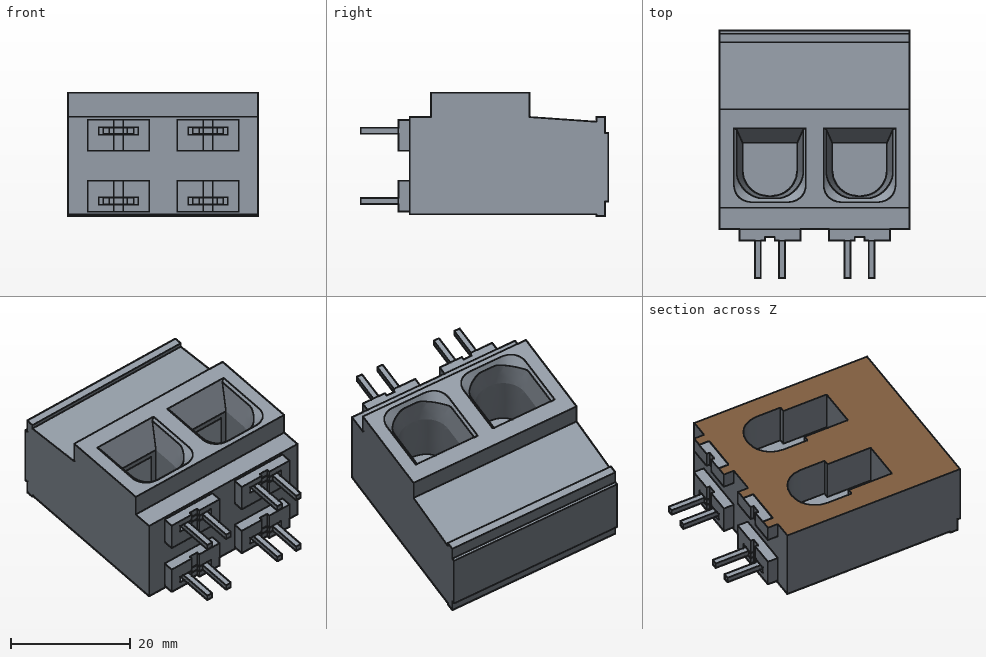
import cadquery as cq

WIDTH = 31.75
HEIGHT = 20.6
POLE_PITCH = 15.0
POLE_SHIFT = 0.05
POLE_CENTRES = (POLE_SHIFT - POLE_PITCH / 2, POLE_SHIFT + POLE_PITCH / 2)

PAD_BACK_Y = 33.2
FLANGE_BACK_Y = 32.65
FLANGE_FRONT_Y = 31.2
SHOULDER_Z = 16.55
SLOPE_LOW_Z = 15.77
UNDERSIDE_Z = 0.3
PAD_BOTTOM_Z = 2.4
PAD_TOP_Z = 13.9
TOWER_FRONT_Y = 3.55
TOWER_BACK_Y = 20.05

ENTRY_WIDTH = 12.05
ENTRY_FRONT_Y = 4.5
ENTRY_BACK_Y = 16.9
RIM_FILLET = 4.15
FUNNEL_FILLET = 4.4
BACK_SLOPE = 0.5
RIM_DEPTH = 2.05
RIM_SIDE_SLOPE = 0.9
RIM_FRONT_SLOPE = 0.85
FUNNEL_DEPTH = 4.95
FUNNEL_SIDE_SLOPE = 0.225
FUNNEL_FRONT_SLOPE = 0.09
THROAT_WIDTH = 9.1
THROAT_FRONT_Y = 5.5
SHAFT_FLOOR_Z = 6.2
CLAMP_SIDE_MARGIN = 1.0
CLAMP_TOP_MARGIN = 1.05
CLAMP_DEPTH = 8.3

CARRIER_WIDTH = 10.23
CARRIER_HEIGHT = 5.18
CARRIER_DEPTH = 1.9
GROOVE_WIDTH = 1.57
GROOVE_DEPTH = 0.6
SLOT_WIDTH = 6.6
SLOT_HEIGHT = 1.25
PIN_THICKNESS = 1.05
PIN_SPAN = 5.05
PIN_TIP_Y = PAD_BACK_Y - 41.4
PIN_ROWS = ((0.75, 2.53), (10.9, 14.25))


def box(x_centre, width, y_min, y_max, z_min, z_max):
    """Axis-aligned block centred on x_centre."""
    size = (width, y_max - y_min, z_max - z_min)
    return cq.Workplane("XY").box(*size, centered=(True, False, False)).translate((x_centre, y_min, z_min))


def housing():
    """Stepped side profile with a sloping rear roof, a rear flange and a rear pad."""
    profile = [
        (0, UNDERSIDE_Z),
        (FLANGE_FRONT_Y, UNDERSIDE_Z),
        (FLANGE_FRONT_Y, 0),
        (FLANGE_BACK_Y, 0),
        (FLANGE_BACK_Y, PAD_BOTTOM_Z),
        (PAD_BACK_Y, PAD_BOTTOM_Z),
        (PAD_BACK_Y, PAD_TOP_Z),
        (FLANGE_BACK_Y, PAD_TOP_Z),
        (FLANGE_BACK_Y, SHOULDER_Z),
        (FLANGE_FRONT_Y, SHOULDER_Z),
        (FLANGE_FRONT_Y, SLOPE_LOW_Z),
        (TOWER_BACK_Y, SHOULDER_Z),
        (TOWER_BACK_Y, HEIGHT),
        (TOWER_FRONT_Y, HEIGHT),
        (TOWER_FRONT_Y, SHOULDER_Z),
        (0, SHOULDER_Z),
    ]
    return cq.Workplane("YZ").polyline(profile).close().extrude(WIDTH / 2, both=True)


def tapered_opening(x_centre, width, front_y, depth, side_slope, front_slope, corner_radius):
    """Opening narrowing downwards from the tower top, its two front corners filleted."""
    bottom_width = width - 2 * side_slope * depth
    bottom_front = front_y + front_slope * depth
    bottom_back = ENTRY_BACK_Y - BACK_SLOPE * depth
    top_middle = (front_y + ENTRY_BACK_Y) / 2
    bottom_middle = (bottom_front + bottom_back) / 2
    return (
        cq.Workplane("XY", origin=(x_centre, top_middle, HEIGHT))
        .rect(width, ENTRY_BACK_Y - front_y)
        .workplane(offset=-depth)
        .center(0, bottom_middle - top_middle)
        .rect(bottom_width, bottom_back - bottom_front)
        .loft(ruled=True)
        .faces("<Y").edges("not |X").fillet(corner_radius)
    )


def wire_entry(x_centre):
    """Bevelled rim, funnel, straight shaft and the clamp chamber behind the shaft."""
    rim = tapered_opening(
        x_centre,
        ENTRY_WIDTH,
        ENTRY_FRONT_Y,
        RIM_DEPTH,
        RIM_SIDE_SLOPE,
        RIM_FRONT_SLOPE,
        RIM_FILLET,
    )
    funnel = tapered_opening(
        x_centre,
        THROAT_WIDTH + 2 * FUNNEL_SIDE_SLOPE * FUNNEL_DEPTH,
        THROAT_FRONT_Y - FUNNEL_FRONT_SLOPE * FUNNEL_DEPTH,
        FUNNEL_DEPTH,
        FUNNEL_SIDE_SLOPE,
        FUNNEL_FRONT_SLOPE,
        FUNNEL_FILLET,
    )
    throat_z = HEIGHT - FUNNEL_DEPTH
    shaft = funnel.faces("<Z").wires().toPending().workplane().extrude(throat_z - SHAFT_FLOOR_Z, combine=False)
    shaft_back_y = ENTRY_BACK_Y - BACK_SLOPE * FUNNEL_DEPTH
    clamp_chamber = box(
        x_centre,
        THROAT_WIDTH - 2 * CLAMP_SIDE_MARGIN,
        shaft_back_y,
        shaft_back_y + CLAMP_DEPTH,
        SHAFT_FLOOR_Z,
        throat_z - CLAMP_TOP_MARGIN,
    )
    return rim.union(funnel).union(shaft).union(clamp_chamber)


def pin_carrier(x_centre, bottom_z, pin_z):
    """Carrier block holding a U-shaped pin pair in a slot, split by a vertical groove."""
    top_z = bottom_z + CARRIER_HEIGHT
    pin_bottom = pin_z - PIN_THICKNESS / 2
    pin_top = pin_z + PIN_THICKNESS / 2
    carrier = box(x_centre, CARRIER_WIDTH, -CARRIER_DEPTH, 0, bottom_z, top_z)
    slot = box(
        x_centre, SLOT_WIDTH, -CARRIER_DEPTH, 0, pin_z - SLOT_HEIGHT / 2, pin_z + SLOT_HEIGHT / 2
    )
    web = box(x_centre, PIN_SPAN, -CARRIER_DEPTH, 0, pin_bottom, pin_top)
    groove = box(x_centre, GROOVE_WIDTH, -CARRIER_DEPTH, GROOVE_DEPTH - CARRIER_DEPTH, bottom_z, top_z)
    assembly = carrier.cut(slot).union(web).cut(groove)
    pin_offset = (PIN_SPAN - PIN_THICKNESS) / 2
    for side in (-1, 1):
        pin = box(x_centre + side * pin_offset, PIN_THICKNESS, PIN_TIP_Y, 0, pin_bottom, pin_top)
        assembly = assembly.union(pin)
    return assembly


result = housing()
for pole_x in POLE_CENTRES:
    result = result.cut(wire_entry(pole_x))
    for carrier_bottom_z, pin_centre_z in PIN_ROWS:
        result = result.union(pin_carrier(pole_x, carrier_bottom_z, pin_centre_z))